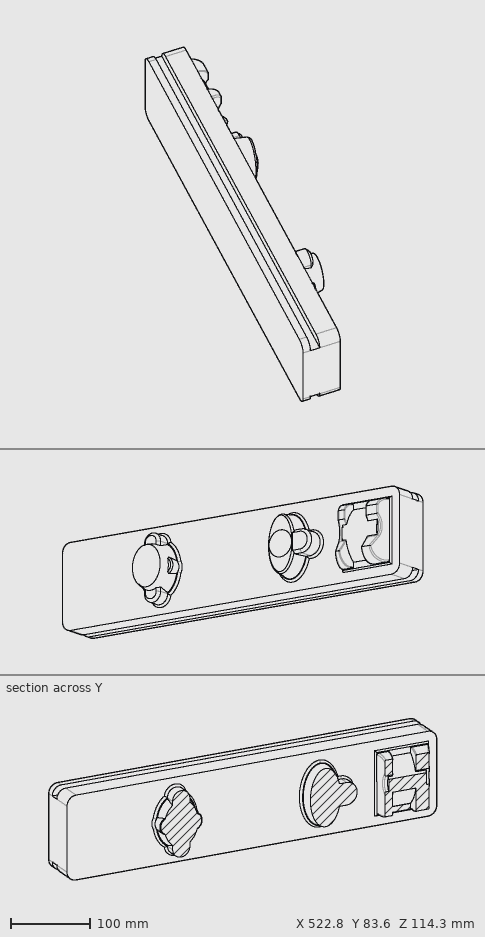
import cadquery as cq

LENGTH = 522.77
HEIGHT = 114.3
TOTAL_DEPTH = 83.64
BODY_DEPTH = 50.8
CORNER_RADIUS = 12.7
FRONT_PLATE = 10.0
GROOVE_WIDTH = 12.7
GROOVE_DEPTH = CORNER_RADIUS
OVERLAP = 2.0

HANDLE_X = -211.5
HANDLE_HEIGHT = 30.0
HANDLE_FOOT = 3.0
HANDLE_FOOT_WIDTH = 76.0
HANDLE_FOOT_SPAN = 88.0
HANDLE_FOOT_TAPER = 30.0
SADDLE_HEIGHT = 17.7
SADDLE_SPAN = 68.0
OUTER_RIM_FILLET = 2.0
INNER_RIM_FILLET = 1.0
INNER_RIM_REACH = 3.0
RIM_CLEARANCE = 0.5
CHEEK_HALF_SPAN = 41.0
UPPER_SHOULDER_MIDDLE = (13.5, 38.5)
UPPER_SHOULDER_END = (20.0, 31.0)
SCOOP_START = (20.0, 19.0)
SCOOP_LOWEST = (14.5, 7.0)
SCOOP_END = (18.0, -9.0)
PEAK = (HANDLE_HEIGHT, -24.0)
LOWER_SHOULDER_MIDDLE = (25.0, -35.0)
LEFT_CHEEK = {"outer_foot": -36.5, "outer_top": -25.5, "inner_top": -12.0, "inner_foot": -11.0}
RIGHT_CHEEK = {"outer_foot": 36.5, "outer_top": 28.5, "inner_top": 22.0, "inner_foot": 19.0}

DOME_X = -95.5
DOME_FOOT_X, DOME_FOOT_Z = 25.5, 42.0
DOME_RIM_X, DOME_RIM_Z = 20.5, 38.5
DOME_RIM_HEIGHT = 23.4
DOME_CROWN_X, DOME_CROWN_Z = 18.0, 36.5
DOME_CROWN_HEIGHT = 26.3
DOME_CAP_RADIUS = 17.5
ARM_REACH = 29.5
ARM_RADIUS = 15.5
ARM_HEIGHT = 25.5
ARM_CHAMFER = 4.0

FLAT_X = 108.5
FLAT_HEIGHT = 31.6
FLAT_TOP_X, FLAT_TOP_Z = 21.5, 27.5
FLAT_FOOT_X, FLAT_FOOT_Z = 28.5, 36.5
LOBE_HEIGHT = 18.0
LOBE_SPAN = 60.0
LOBE_WIDTH = 24.0
LOBE_CHAMFER = 2.0
CROSS_BAR_HEIGHT = 22.0
CROSS_BAR_WIDTH = 25.0
CROSS_BAR_SPAN = 90.0
CROSS_BAR_CHAMFER = 4.0

SKIRT_HEIGHT = 3.0
SKIRT_FLARE = 3.0

REAR_Y = BODY_DEPTH - TOTAL_DEPTH / 2


def rear_plane(x, height=0.0):
    """Plane facing +Y at a height above the rear face; local x is -X, local y is +Z."""
    return cq.Workplane(cq.Plane((x, REAR_Y + height, 0), (-1, 0, 0), (0, 1, 0)))


def elliptic_frustum(x, base, foot_x, foot_z, top, top_x, top_z):
    """Tapered solid between an ellipse at height base and one at height top."""
    return (
        rear_plane(x, base).ellipse(foot_x, foot_z)
        .workplane(offset=top - base).ellipse(top_x, top_z)
        .loft(ruled=True)
    )


def skirt(x, foot_x, foot_z):
    """Flare where an elliptic knob meets the rear face."""
    return elliptic_frustum(x, 0, foot_x + SKIRT_FLARE, foot_z + SKIRT_FLARE, SKIRT_HEIGHT, foot_x, foot_z)


def round_bar(x, span, width, height, top_chamfer, angle=0):
    """Round-ended bar with a chamfered top and a flared foot; angle 0 lies along X, 90 along Z."""
    bar = (
        rear_plane(x, -OVERLAP).slot2D(span, width, angle).extrude(height + OVERLAP)
        .faces(">Y").chamfer(top_chamfer)
    )
    flare = (
        rear_plane(x, -OVERLAP).slot2D(span + 2 * SKIRT_FLARE, width + 2 * SKIRT_FLARE, angle)
        .extrude(SKIRT_HEIGHT + OVERLAP)
        .faces(">Y").chamfer(SKIRT_HEIGHT, SKIRT_FLARE)
    )
    return bar.union(flare)


def body():
    """Rounded slab with a groove along its upper and lower long sides."""
    front_y = REAR_Y - BODY_DEPTH
    slab = (
        cq.Workplane("XY").box(LENGTH, BODY_DEPTH, HEIGHT)
        .translate((0, front_y + BODY_DEPTH / 2, 0))
        .edges("|Y").fillet(CORNER_RADIUS)
    )
    groove_y = front_y + FRONT_PLATE + GROOVE_WIDTH / 2
    for side in (-1, 1):
        groove = cq.Workplane("XY").box(LENGTH, GROOVE_WIDTH, 2 * GROOVE_DEPTH)
        slab = slab.cut(groove.translate((0, groove_y, side * HEIGHT / 2)))
    return slab


def rim_box(start_x, end_x):
    """Selector for edges above the handle foot whose centres lie between two X positions."""
    return cq.selectors.BoxSelector(
        (start_x, REAR_Y + HANDLE_FOOT + RIM_CLEARANCE, -HEIGHT),
        (end_x, REAR_Y + TOTAL_DEPTH, HEIGHT),
    )


def cheek(edges):
    """One sloping cheek: its section along X cut to the scooped outline along Z."""
    wedge = (
        cq.Workplane("XY")
        .moveTo(HANDLE_X + edges["outer_foot"], REAR_Y - OVERLAP)
        .lineTo(HANDLE_X + edges["outer_foot"], REAR_Y + HANDLE_FOOT)
        .lineTo(HANDLE_X + edges["outer_top"], REAR_Y + HANDLE_HEIGHT)
        .lineTo(HANDLE_X + edges["inner_top"], REAR_Y + HANDLE_HEIGHT)
        .lineTo(HANDLE_X + edges["inner_foot"], REAR_Y - OVERLAP)
        .close().extrude(HEIGHT / 2, both=True)
    )
    outline = (
        cq.Workplane("YZ", origin=(HANDLE_X, REAR_Y, 0))
        .moveTo(-OVERLAP, CHEEK_HALF_SPAN).lineTo(HANDLE_FOOT, CHEEK_HALF_SPAN)
        .threePointArc(UPPER_SHOULDER_MIDDLE, UPPER_SHOULDER_END)
        .lineTo(*SCOOP_START)
        .threePointArc(SCOOP_LOWEST, SCOOP_END)
        .lineTo(*PEAK)
        .threePointArc(LOWER_SHOULDER_MIDDLE, (HANDLE_FOOT, -CHEEK_HALF_SPAN))
        .lineTo(-OVERLAP, -CHEEK_HALF_SPAN)
        .close().extrude(HANDLE_FOOT_WIDTH, both=True)
    )
    cheek_solid = wedge.intersect(outline)
    outer_foot, outer_top, inner_top = (
        HANDLE_X + edges[name] for name in ("outer_foot", "outer_top", "inner_top")
    )
    outer_rim = rim_box(outer_foot, (outer_top + inner_top) / 2)
    inner_rim = rim_box(inner_top - INNER_RIM_REACH, inner_top + INNER_RIM_REACH)
    cheek_solid = cheek_solid.edges("not |X").edges(outer_rim).fillet(OUTER_RIM_FILLET)
    return cheek_solid.edges("not |X").edges(inner_rim).fillet(INNER_RIM_FILLET)


def handle():
    """Handle with its flared foot, saddle and both cheeks."""
    foot = (
        rear_plane(HANDLE_X).rect(HANDLE_FOOT_WIDTH, HANDLE_FOOT_SPAN)
        .extrude(HANDLE_FOOT, taper=HANDLE_FOOT_TAPER)
    )
    saddle_width = RIGHT_CHEEK["outer_top"] - LEFT_CHEEK["outer_top"]
    saddle = (
        cq.Workplane("YZ", origin=(HANDLE_X - saddle_width / 2, REAR_Y, 0))
        .moveTo(-OVERLAP, -SADDLE_SPAN / 2).lineTo(HANDLE_FOOT, -SADDLE_SPAN / 2)
        .threePointArc((SADDLE_HEIGHT, 0), (HANDLE_FOOT, SADDLE_SPAN / 2))
        .lineTo(-OVERLAP, SADDLE_SPAN / 2)
        .close().extrude(saddle_width)
    )
    return foot.union(saddle).union(cheek(LEFT_CHEEK)).union(cheek(RIGHT_CHEEK))


def dome_cap():
    """Spherical cap standing on the crown of the domed knob."""
    profile = (
        cq.Workplane("XY", origin=(DOME_X, REAR_Y, 0))
        .moveTo(0, DOME_RIM_HEIGHT).lineTo(DOME_CAP_RADIUS, DOME_RIM_HEIGHT)
        .lineTo(DOME_CAP_RADIUS, DOME_CROWN_HEIGHT)
    )
    cap_top = TOTAL_DEPTH - BODY_DEPTH
    rise = cap_top - DOME_CROWN_HEIGHT
    sphere_radius = (DOME_CAP_RADIUS**2 + rise**2) / (2 * rise)
    return profile.radiusArc((0, cap_top), -sphere_radius).close().revolve(360, (0, 0), (0, 1))


def domed_knob():
    """Oblong domed knob with a round-ended arm toward -X."""
    knob = elliptic_frustum(
        DOME_X, -OVERLAP, DOME_FOOT_X, DOME_FOOT_Z, DOME_RIM_HEIGHT, DOME_RIM_X, DOME_RIM_Z
    )
    shoulder = elliptic_frustum(
        DOME_X, DOME_RIM_HEIGHT, DOME_RIM_X, DOME_RIM_Z, DOME_CROWN_HEIGHT, DOME_CROWN_X, DOME_CROWN_Z
    )
    arm_centre = DOME_X - ARM_REACH / 2
    arm_span = ARM_REACH + 2 * ARM_RADIUS
    arm = round_bar(arm_centre, arm_span, 2 * ARM_RADIUS, ARM_HEIGHT, ARM_CHAMFER)
    fittings = (shoulder, dome_cap(), arm, skirt(DOME_X, DOME_FOOT_X, DOME_FOOT_Z))
    for fitting in fittings:
        knob = knob.union(fitting)
    return knob


def flat_knob():
    """Flat-topped oblong knob with side lobes, crossed by a bar along Z."""
    knob = elliptic_frustum(
        FLAT_X, -OVERLAP, FLAT_FOOT_X, FLAT_FOOT_Z, FLAT_HEIGHT, FLAT_TOP_X, FLAT_TOP_Z
    )
    lobes = round_bar(FLAT_X, LOBE_SPAN, LOBE_WIDTH, LOBE_HEIGHT, LOBE_CHAMFER)
    bar = round_bar(FLAT_X, CROSS_BAR_SPAN, CROSS_BAR_WIDTH, CROSS_BAR_HEIGHT, CROSS_BAR_CHAMFER, 90)
    return knob.union(lobes).union(bar).union(skirt(FLAT_X, FLAT_FOOT_X, FLAT_FOOT_Z))


result = body().union(handle()).union(domed_knob()).union(flat_knob())